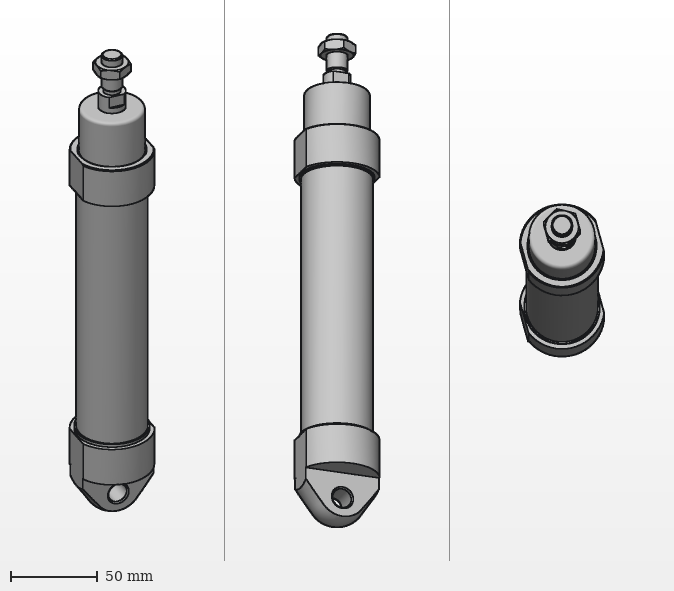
import cadquery as cq
import math

TOTAL_HEIGHT = 302.5
LUG_TOP = 29.5
REAR_CAP_TOP = 53.0
REAR_LIP_TOP = 54.8
FRONT_LIP_BOTTOM = 214.5
FRONT_CAP_BOTTOM = 215.5
FRONT_CAP_TOP = 239.5
NECK_TOP = 267.8

TUBE_DIAMETER = 41.5
CAP_DIAMETER = 49.0
CAP_ACROSS_FLATS = 45.0
FRONT_CAP_CHAMFER = 0.5
LIP_DIAMETER = 43.5
NECK_DIAMETER = 38.0
NECK_FILLET = 2.0
NECK_GROOVE_DIAMETER = 40.0
NECK_GROOVE_DEPTH = 1.0

LUG_THICKNESS = 17.5
LUG_HOLE_DIAMETER = 11.5
LUG_HOLE_CHAMFER = 1.0
LUG_HOLE_Z = 14.0
TIP_SPHERE_RADIUS = 17.2
TIP_SPHERE_HEIGHT = 9.0
CONE_SLOPE = 56.0

ROD_DIAMETER = 16.0
ROD_SHOULDER_Z = 278.5
ROD_FLAT_BOTTOM = 271.5
ROD_ACROSS_FLATS = 13.0
THREAD_DIAMETER = 12.0
THREAD_BOTTOM = 280.8
THREAD_CHAMFER = 0.75
UNDERCUT_DIAMETER = 10.3
ROD_BOTTOM = FRONT_CAP_TOP

NUT_BOTTOM = 291.0
NUT_TOP = 297.5
NUT_ACROSS_FLATS = 19.0
NUT_CHAMFER_ANGLE = 30.0


def cylinder(diameter, bottom, top):
    """Upright cylinder on the Z axis between two heights."""
    return cq.Workplane("XY").workplane(offset=bottom).circle(diameter / 2).extrude(top - bottom)


def slab(size_x, size_y, bottom, top):
    """Upright rectangular block centred on the Z axis."""
    return cq.Workplane("XY").workplane(offset=bottom).rect(size_x, size_y).extrude(top - bottom)


def cut_cap_flats(round_cap, bottom, top):
    """Trim a round cap flat on its -Y and +Y sides."""
    return round_cap.intersect(slab(CAP_DIAMETER, CAP_ACROSS_FLATS, bottom, top))


def make_lug():
    """Tongue cut from a sphere-tipped cone, with a cross hole along X."""
    cap_radius = CAP_DIAMETER / 2
    sphere_edge = math.sqrt(TIP_SPHERE_RADIUS**2 - (TIP_SPHERE_RADIUS - TIP_SPHERE_HEIGHT) ** 2)
    cone_top = TIP_SPHERE_HEIGHT + (cap_radius - sphere_edge) * math.tan(math.radians(CONE_SLOPE))
    half_angle = math.asin(sphere_edge / TIP_SPHERE_RADIUS) / 2
    arc_middle = (
        TIP_SPHERE_RADIUS * math.sin(half_angle),
        TIP_SPHERE_RADIUS * (1 - math.cos(half_angle)),
    )
    tip = (
        cq.Workplane("XZ")
        .threePointArc(arc_middle, (sphere_edge, TIP_SPHERE_HEIGHT))
        .lineTo(cap_radius, cone_top)
        .lineTo(cap_radius, LUG_TOP)
        .lineTo(0, LUG_TOP)
        .close()
        .revolve(360, (0, 0), (0, 1))
    )
    cross_hole = (
        cq.Workplane("YZ")
        .center(0, LUG_HOLE_Z)
        .circle(LUG_HOLE_DIAMETER / 2)
        .extrude(LUG_THICKNESS, both=True)
    )
    tongue = tip.intersect(slab(LUG_THICKNESS, CAP_ACROSS_FLATS, 0, LUG_TOP)).cut(cross_hole)
    hole_rims = tongue.faces("<X or >X").edges("%CIRCLE").edges(
        cq.selectors.RadiusNthSelector(0)
    )
    return hole_rims.chamfer(LUG_HOLE_CHAMFER)


def make_front_cap():
    """Front cap with a chamfered top rim and a shallow groove around the neck."""
    round_cap = cylinder(CAP_DIAMETER, FRONT_CAP_BOTTOM, FRONT_CAP_TOP)
    round_cap = round_cap.faces(">Z").edges().chamfer(FRONT_CAP_CHAMFER)
    groove = cylinder(NECK_GROOVE_DIAMETER, FRONT_CAP_TOP - NECK_GROOVE_DEPTH, FRONT_CAP_TOP)
    return cut_cap_flats(round_cap, FRONT_CAP_BOTTOM, FRONT_CAP_TOP).cut(groove)


def make_rear_cap():
    """Plain rear cap above the lug."""
    round_cap = cylinder(CAP_DIAMETER, LUG_TOP, REAR_CAP_TOP)
    return cut_cap_flats(round_cap, LUG_TOP, REAR_CAP_TOP)


def make_neck():
    """Mounting neck with a rounded top edge, starting at the groove floor."""
    neck = cylinder(NECK_DIAMETER, FRONT_CAP_TOP - NECK_GROOVE_DEPTH, NECK_TOP)
    return neck.faces(">Z").edges().fillet(NECK_FILLET)


def make_housing():
    """Tube with both caps, the rear lug and the bored front neck."""
    return (
        cylinder(TUBE_DIAMETER, REAR_LIP_TOP, FRONT_LIP_BOTTOM)
        .union(cylinder(LIP_DIAMETER, REAR_CAP_TOP, REAR_LIP_TOP))
        .union(cylinder(LIP_DIAMETER, FRONT_LIP_BOTTOM, FRONT_CAP_BOTTOM))
        .union(make_rear_cap())
        .union(make_lug())
        .union(make_front_cap())
        .union(make_neck())
        .cut(cylinder(ROD_DIAMETER, ROD_BOTTOM, NECK_TOP))
    )


def make_rod():
    """Piston rod with wrench flats on -X and +X, an undercut and a threaded end."""
    shank = cylinder(ROD_DIAMETER, ROD_BOTTOM, ROD_FLAT_BOTTOM)
    flatted = cylinder(ROD_DIAMETER, ROD_FLAT_BOTTOM, ROD_SHOULDER_Z).intersect(
        slab(ROD_ACROSS_FLATS, ROD_DIAMETER, ROD_FLAT_BOTTOM, ROD_SHOULDER_Z)
    )
    undercut = cylinder(UNDERCUT_DIAMETER, ROD_SHOULDER_Z, THREAD_BOTTOM)
    thread = cylinder(THREAD_DIAMETER, THREAD_BOTTOM, TOTAL_HEIGHT)
    thread = thread.faces("<Z or >Z").edges().chamfer(THREAD_CHAMFER)
    return shank.union(flatted).union(undercut).union(thread)


def make_nut():
    """Hexagonal nut with corners on the X axis, chamfered at both ends."""
    height = NUT_TOP - NUT_BOTTOM
    inner = NUT_ACROSS_FLATS / 2
    corner = inner / math.cos(math.pi / 6)
    drop = (corner - inner) * math.tan(math.radians(NUT_CHAMFER_ANGLE))
    hexagon = cq.Workplane("XY").workplane(offset=NUT_BOTTOM).polygon(6, 2 * corner).extrude(height)
    chamfer_envelope = (
        cq.Workplane("XZ")
        .moveTo(0, NUT_BOTTOM)
        .lineTo(inner, NUT_BOTTOM)
        .lineTo(corner, NUT_BOTTOM + drop)
        .lineTo(corner, NUT_TOP - drop)
        .lineTo(inner, NUT_TOP)
        .lineTo(0, NUT_TOP)
        .close()
        .revolve(360, (0, 0), (0, 1))
    )
    return hexagon.intersect(chamfer_envelope).cut(cylinder(THREAD_DIAMETER, NUT_BOTTOM, NUT_TOP))


housing = make_housing()
rod = make_rod()
nut = make_nut()

result = cq.Compound.makeCompound([housing.val(), rod.val(), nut.val()])